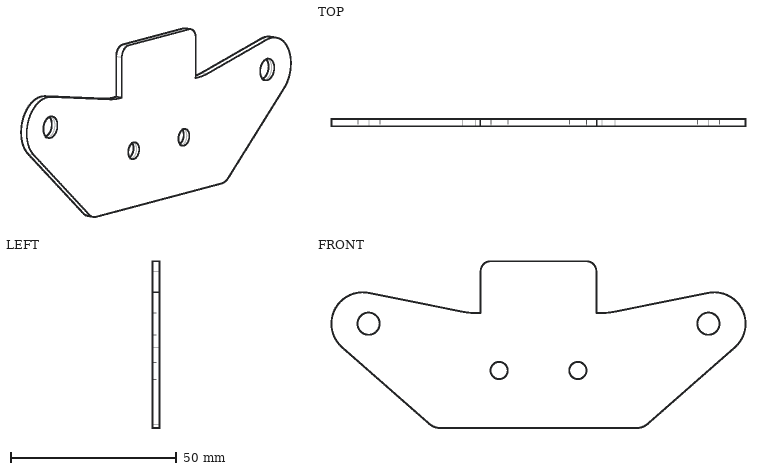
import cadquery as cq
import math

length = 125.5
height = 50.6
thickness = 2.3

ear_radius = 9.5
ear_x = length / 2 - ear_radius
ear_z = 31.6

base_half_width = 31.6
base_corner_radius = 5.0
shoulder_z = 34.9
shoulder_bend_x = 21.1
shoulder_bend_radius = 20.1
tab_half_width = 17.6
tab_corner_radius = 3.1

end_hole_diameter = 6.7
end_hole_x = 51.5
inner_hole_diameter = 5.1
inner_hole_x = 11.9
inner_hole_z = 17.5


def ear_tangent(x, z, side):
    """Point where a line from (x, z) touches the right ear; side picks the tangent."""
    dx = x - ear_x
    dz = z - ear_z
    angle = math.atan2(dz, dx) + side * math.acos(ear_radius / math.hypot(dx, dz))
    return ear_x + ear_radius * math.cos(angle), ear_z + ear_radius * math.sin(angle)


def mirrored(point):
    return -point[0], point[1]


def round_edges(plate, x, z, radius):
    """Round the edges through the plate at (x, z) and at its mirror image."""
    for edge_x in (-x, x):
        plate = plate.edges(cq.NearestToPointSelector((edge_x, 0, z))).fillet(radius)
    return plate


def make_plate():
    lower = ear_tangent(base_half_width, 0, 1)
    upper = ear_tangent(shoulder_bend_x, shoulder_z, -1)
    ear_tip = (length / 2, ear_z)
    plate = (
        cq.Workplane("XZ")
        .moveTo(-base_half_width, 0)
        .lineTo(base_half_width, 0)
        .lineTo(*lower)
        .threePointArc(ear_tip, upper)
        .lineTo(shoulder_bend_x, shoulder_z)
        .lineTo(tab_half_width, shoulder_z)
        .lineTo(tab_half_width, height)
        .lineTo(-tab_half_width, height)
        .lineTo(-tab_half_width, shoulder_z)
        .lineTo(-shoulder_bend_x, shoulder_z)
        .lineTo(*mirrored(upper))
        .threePointArc(mirrored(ear_tip), mirrored(lower))
        .close()
        .extrude(thickness / 2, both=True)
    )
    plate = round_edges(plate, base_half_width, 0, base_corner_radius)
    plate = round_edges(plate, shoulder_bend_x, shoulder_z, shoulder_bend_radius)
    return round_edges(plate, tab_half_width, height, tab_corner_radius)


def hole_pair(x, z, diameter):
    """Cutters for two mirrored holes through the thickness."""
    return (
        cq.Workplane("XZ")
        .pushPoints([(-x, z), (x, z)])
        .circle(diameter / 2)
        .extrude(thickness, both=True)
    )


result = (
    make_plate()
    .cut(hole_pair(end_hole_x, ear_z, end_hole_diameter))
    .cut(hole_pair(inner_hole_x, inner_hole_z, inner_hole_diameter))
)